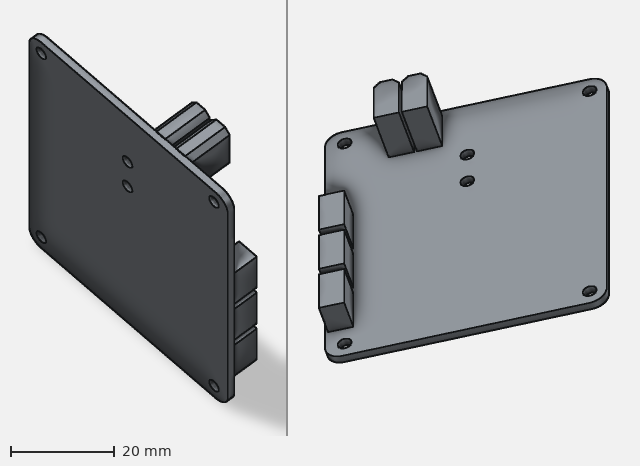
import cadquery as cq

board_width = 56.5
board_height = 65.0
board_thickness = 1.7
corner_radius = 3.45

hole_diameter = 2.7
hole_inset = 3.45
corner_hole_spacing_x = 49.1
corner_hole_spacing_z = board_height - 2 * hole_inset
middle_hole_x = 27.95
middle_hole_heights = (42.95, 50.7)

total_depth = 12.3
connector_width = 5.1
connector_height = 10.0
connector_bevel = 1.3
connector_top = 64.75
connector_first_x = 32.95
connector_pitch = 5.65
connector_count = 2

block_width = 5.1
block_height = 9.75
block_depth = 6.5
block_x = 50.75
block_first_z = 7.75
block_pitch = 11.4
block_count = 3


def make_board():
    board = cq.Workplane("XY").box(board_width, board_thickness, board_height, centered=False)
    board = board.edges("|Y").fillet(corner_radius)
    right_hole_x = hole_inset + corner_hole_spacing_x
    top_hole_z = hole_inset + corner_hole_spacing_z
    hole_centres = [(x, z) for x in (hole_inset, right_hole_x) for z in (hole_inset, top_hole_z)]
    hole_centres += [(middle_hole_x, z) for z in middle_hole_heights]
    holes = (
        cq.Workplane("XZ")
        .pushPoints(hole_centres)
        .circle(hole_diameter / 2)
        .extrude(-board_thickness)
    )
    return board.cut(holes)


def make_box_on_board(width, depth, height, x, z):
    """Box rooted at mid-thickness of the board and standing out behind it."""
    box = cq.Workplane("XY").box(width, board_thickness / 2 + depth, height, centered=False)
    return box.translate((x, board_thickness / 2, z))


def make_connector(x):
    connector = make_box_on_board(
        connector_width,
        total_depth - board_thickness,
        connector_height,
        x,
        connector_top - connector_height,
    )
    return connector.edges("|Y and >Z").chamfer(connector_bevel)


result = make_board()

for index in range(connector_count):
    result = result.union(make_connector(connector_first_x + index * connector_pitch))

for index in range(block_count):
    block_z = block_first_z + index * block_pitch
    result = result.union(make_box_on_board(block_width, block_depth, block_height, block_x, block_z))